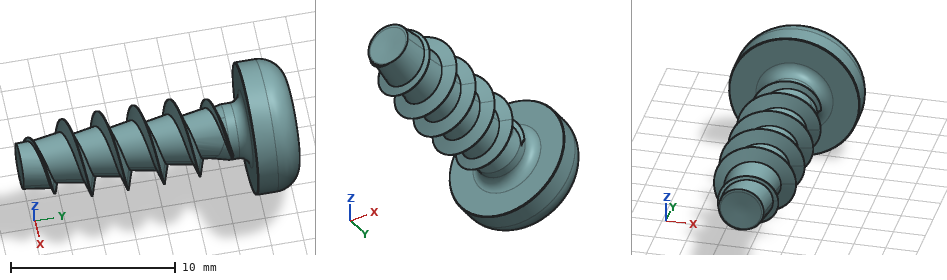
import cadquery as cq
import math

total_length = 16.89
head_height = 2.89
head_diameter = 8.2
head_radius = head_diameter / 2
head_round = 1.64
head_edge_chamfer = 0.05

neck_radius = 1.72
neck_fillet = 0.7
neck_end = 1.27
neck_taper_end = 2.63
core_radius = 1.37
tip_recess_radius = 1.28
tip_recess_depth = 0.08
tip_depth = total_length - head_height

four_turns_length = 8.95
pitch = four_turns_length / 4
thread_start = 1.15
thread_radius = 2.53
first_crest_radius = 1.96
lead_in_growth = 0.5
rise_growth = 6.75
run_out_turn = 4.25
run_out_loss = 0.78
crest_half_width = 0.025
flank_slope = math.tan(math.radians(16))
buried_turn = -1
end_turn = 6
samples_per_turn = 24

root_peak_radius = 1.65
crest_over_root = 0.22
least_crest_height = 0.03
least_root_taper = 0.02


def crest_radius(turn):
    growth = lead_in_growth if turn > 0 else rise_growth
    lead_in = first_crest_radius + growth * turn
    run_out = thread_radius - run_out_loss * (turn - run_out_turn)
    return max(core_radius + least_crest_height, min(thread_radius, lead_in, run_out))


def thread_profile(turn):
    """One pitch as (radius, axial offset towards the tip): flank, crest, flank, tapering root."""
    crest = crest_radius(turn)
    if turn < run_out_turn:
        root_peak = root_peak_radius
        crest = max(crest, root_peak + least_crest_height)
    else:
        root_peak = max(core_radius + least_root_taper, min(root_peak_radius, crest - crest_over_root))
    upper_offset = crest_half_width + flank_slope * (crest - core_radius)
    lower_offset = crest_half_width + flank_slope * (crest - root_peak)
    return [
        (core_radius, -upper_offset),
        (crest, -crest_half_width),
        (crest, crest_half_width),
        (root_peak, lower_offset),
    ]


def helix_point(turn, radius, offset):
    angle = 2 * math.pi * turn
    depth = thread_start + pitch * turn + offset
    return cq.Vector(radius * math.cos(angle), -depth, radius * math.sin(angle))


def section_points(turn):
    """One pitch of the profile, closed off by the first point of the next turn."""
    points = [helix_point(turn, radius, offset) for radius, offset in thread_profile(turn)]
    next_radius, next_offset = thread_profile(turn + 1)[0]
    return points + [helix_point(turn + 1, next_radius, next_offset)]


def axis_point(turn):
    return helix_point(turn, 0, 0)


def helicoid(first_path, second_path):
    return cq.Face.makeRuledSurface(cq.Edge.makeSpline(first_path), cq.Edge.makeSpline(second_path))


def make_threaded_body():
    """Solid bounded by helicoid strips, closed at each end by a spiral step down to the axis."""
    faces = []
    for start in range(buried_turn, end_turn):
        turns = [start + i / samples_per_turn for i in range(samples_per_turn + 1)]
        paths = [list(path) for path in zip(*[section_points(t) for t in turns])]
        faces += [helicoid(first, second) for first, second in zip(paths, paths[1:])]
        if start == buried_turn:
            faces.append(helicoid([axis_point(t) for t in turns], paths[0]))
        if start == end_turn - 1:
            faces.append(helicoid([axis_point(t + 1) for t in turns], paths[-1]))
    for turn in (buried_turn, end_turn):
        outline = [axis_point(turn)] + section_points(turn) + [axis_point(turn + 1)]
        faces.append(cq.Face.makeFromWires(cq.Wire.makePolygon(outline, close=True)))
    return cq.Workplane(cq.Solid.makeSolid(cq.Shell.makeShell(faces)).fix())


axial_plane = cq.Plane(origin=(0, 0, 0), xDir=(0, 0, 1), normal=(-1, 0, 0))


def make_blank():
    """Head, filleted neck and its taper turned about the Y axis."""
    round_start = head_height - head_round
    round_mid = head_round * math.sqrt(0.5)
    fillet_outer = neck_radius + neck_fillet
    fillet_mid = neck_fillet * math.sqrt(0.5)
    return (
        cq.Workplane(axial_plane)
        .moveTo(0, head_height)
        .lineTo(head_radius - head_round, head_height)
        .threePointArc(
            (head_radius - head_round + round_mid, round_start + round_mid),
            (head_radius, round_start),
        )
        .lineTo(head_radius, head_edge_chamfer)
        .lineTo(head_radius - head_edge_chamfer, 0)
        .lineTo(fillet_outer, 0)
        .threePointArc(
            (fillet_outer - fillet_mid, -neck_fillet + fillet_mid),
            (neck_radius, -neck_fillet),
        )
        .lineTo(neck_radius, -neck_end)
        .lineTo(core_radius, -neck_taper_end)
        .lineTo(0, -neck_taper_end)
        .close()
        .revolve(360, (0, 0, 0), (0, 1, 0))
    )


def make_tip_recess():
    """Shallow cone sunk into the flat tip."""
    return (
        cq.Workplane(axial_plane)
        .moveTo(0, -tip_depth)
        .lineTo(tip_recess_radius, -tip_depth)
        .lineTo(0, -tip_depth + tip_recess_depth)
        .close()
        .revolve(360, (0, 0, 0), (0, 1, 0))
    )


tip_trim = cq.Workplane("XZ", origin=(0, -tip_depth, 0)).circle(thread_radius).extrude(2 * pitch)

threaded_body = make_threaded_body().cut(tip_trim).cut(make_tip_recess())
result = make_blank().union(threaded_body)